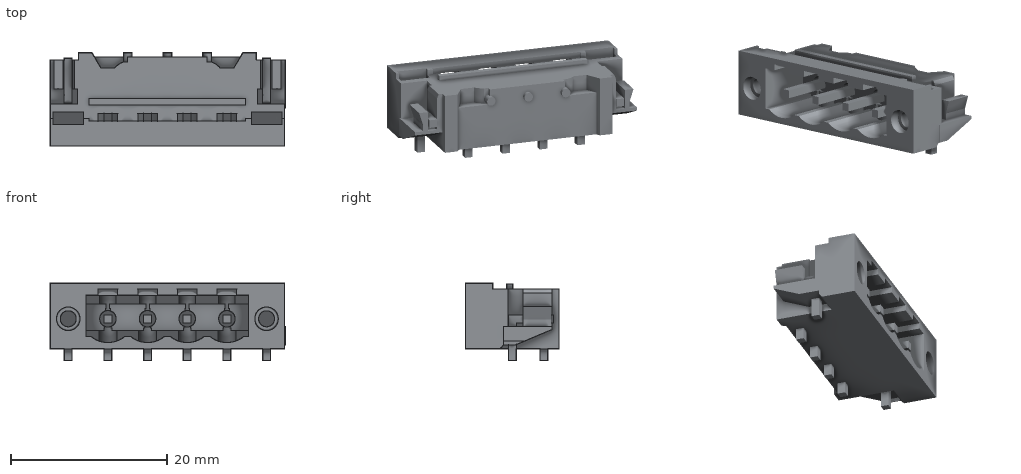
import cadquery as cq


overall_width = 30.12
pad_thickness = 0.1
half_width = (overall_width - pad_thickness) / 2
housing_depth = 12.0
front_height = 8.43
body_height = 7.68
front_block_depth = 5.42
rear_wall_y = 11.45
body_half_width = 11.4

contact_count = 4
anchor_span = 25.4
pitch = anchor_span / (contact_count + 1)
anchor_places = [-anchor_span / 2, anchor_span / 2]
contact_places = [(i - (contact_count - 1) / 2) * pitch for i in range(contact_count)]
wire = 1.02
axis_z = 3.85
leg_bottom = -1.5
contact_tip_y = 0.87
contact_rear_y = 10.55
anchor_front_y = 5.5
anchor_rear_y = 11.25

ledge_end_depth = 3.52
ledge_middle_depth = 3.2
ledge_middle_half = 10.03

rib_front_y = 5.27
rib_rear_y = 6.08
rib_top = 8.3

cavity_half = 10.4
cavity_floor = 1.57
cavity_mouth_top = 6.9
cavity_top = 6.8
scallop_bottom = 0.8
scallop_radius = 3.4
panel_y = 7.23
recess_y = 8.73
panel_bottom = 2.35
panel_top = 5.72
polarizing_width = 2.5
polarizing_depth = 4.2

ring_radius = 1.05
ring_depth = 0.75
upper_post_radius = 1.05
lower_post_radius = 1.15
upper_neck = 0.45
upper_mouth = 0.63
lower_neck = 1.0
lower_mouth = 0.8
mouth_height = 0.27

screw_radius = 1.5
screw_depth = 1.35
screw_core_radius = 1.02
nut_width = 3.92
nut_front_y = 2.8
nut_rear_y = 4.37

arm_rear_y = 11.05
arm_top = 2.9
arm_tip_bottom = 2.47
arm_bottom = 1.0
arm_slope_end_y = 7.55
notch_y = 4.88
notch_step_z = 0.5
notch_front_y = 4.43
side_wall = 11.55

cheek_front_y = 7.35
cheek_outer = 12.15
cheek_top_half = 11.9
cheek_chamfer_height = 0.55
clip_outer = 14.55
clip_foot_outer = 14.0
clip_inner = 13.37
clip_top = 5.42
clip_slope_bottom = 3.7

horn_inner_half = 9.67
cut_outer_half = 8.52
cut_inner_half = 6.75
cut_front_y = 10.03
cut_step_y = 10.78
cut_floor = 5.65
cut_arc_bulge = 0.05
knob_radius = 0.57


def block(x0, x1, y0, y1, z0, z1):
    """Box between two opposite corners."""
    return cq.Workplane("XY").box(x1 - x0, y1 - y0, z1 - z0, centered=False).translate((x0, y0, z0))


def wide_block(half, y0, y1, z0, z1):
    """Box centred on X = 0."""
    return block(-half, half, y0, y1, z0, z1)


def rod_along_y(x, z, radius, y0, y1):
    return cq.Workplane("XZ", origin=(x, y0, z)).circle(radius).extrude(y0 - y1)


def rod_along_z(x, y, radius, z0, z1):
    return cq.Workplane("XY", origin=(x, y, z0)).circle(radius).extrude(z1 - z0)


def both_sides(shape):
    return shape.union(shape.mirror("YZ"))


def make_body():
    body = wide_block(half_width, 0, front_block_depth, 0, body_height)
    ledge = wide_block(half_width, 0, ledge_end_depth, body_height, front_height)
    ledge_step = wide_block(ledge_middle_half, ledge_middle_depth, ledge_end_depth, body_height, front_height)
    ledge = ledge.cut(ledge_step)
    rib = wide_block(ledge_middle_half, rib_front_y, rib_rear_y, body_height, rib_top)
    rear = wide_block(body_half_width, front_block_depth, housing_depth, 0, body_height)
    side_walls = wide_block(side_wall, front_block_depth, cheek_front_y, arm_top, body_height)
    return body.union(ledge).union(rear).union(side_walls).union(rib)


def make_rear_cut():
    """Open space behind the rear wall, between the corner horns, with two notches in the top plate."""
    horn_slope = (horn_inner_half - cut_outer_half) / (housing_depth - cut_front_y)
    wall_half = cut_outer_half + horn_slope * (rear_wall_y - cut_front_y)
    behind_plate = (
        cq.Workplane("XY")
        .moveTo(-horn_inner_half, housing_depth)
        .lineTo(-wall_half, rear_wall_y)
        .lineTo(wall_half, rear_wall_y)
        .lineTo(horn_inner_half, housing_depth)
        .close()
        .extrude(body_height)
    )
    arc_start = (-cut_inner_half, cut_front_y)
    arc_end = (-pitch - knob_radius, cut_step_y)
    arc_mid_x = (arc_start[0] + arc_end[0]) / 2 - cut_arc_bulge
    arc_mid_y = (arc_start[1] + arc_end[1]) / 2 + cut_arc_bulge
    notch = (
        cq.Workplane("XY", origin=(0, 0, cut_floor))
        .moveTo(-horn_inner_half, housing_depth)
        .lineTo(-cut_outer_half, cut_front_y)
        .lineTo(*arc_start)
        .threePointArc((arc_mid_x, arc_mid_y), arc_end)
        .lineTo(-pitch, cut_step_y)
        .lineTo(-pitch, housing_depth)
        .close()
        .extrude(body_height - cut_floor)
    )
    return behind_plate.union(both_sides(notch))


def make_knobs():
    knobs = cq.Workplane("XY")
    for x in (-pitch, 0, pitch):
        knobs = knobs.union(rod_along_y(x, cut_floor + knob_radius, knob_radius, cut_step_y, housing_depth))
    return knobs


def make_arm():
    """Left arm with its wedge clip and the chamfered cheek beside it."""
    arm = (
        cq.Workplane("YZ", origin=(-half_width, 0, 0))
        .moveTo(notch_y, arm_top)
        .lineTo(arm_rear_y, arm_top)
        .lineTo(arm_rear_y, arm_tip_bottom)
        .lineTo(arm_slope_end_y, arm_bottom)
        .lineTo(notch_y, arm_bottom)
        .close()
        .extrude(half_width - body_half_width)
    )
    cheek_depth = arm_rear_y - cheek_front_y
    cheek = (
        cq.Workplane("XZ", origin=(0, arm_rear_y, 0))
        .moveTo(-body_half_width, arm_top)
        .lineTo(-cheek_outer, arm_top)
        .lineTo(-cheek_outer, body_height - cheek_chamfer_height)
        .lineTo(-cheek_top_half, body_height)
        .lineTo(-body_half_width, body_height)
        .close()
        .extrude(cheek_depth)
    )
    clip = (
        cq.Workplane("XZ", origin=(0, arm_rear_y, 0))
        .moveTo(-clip_inner, arm_top)
        .lineTo(-clip_foot_outer, arm_top)
        .lineTo(-clip_foot_outer, clip_slope_bottom)
        .lineTo(-clip_outer, clip_top)
        .lineTo(-clip_inner, clip_top)
        .close()
        .extrude(cheek_depth)
    )
    return arm.union(cheek).union(clip)


def make_bottom_notch():
    """Relief under the rear edge of the left end of the front block."""
    return (
        cq.Workplane("YZ", origin=(-half_width, 0, 0))
        .moveTo(notch_front_y, 0)
        .lineTo(notch_y, notch_step_z)
        .lineTo(notch_y, arm_bottom)
        .lineTo(front_block_depth, arm_bottom)
        .lineTo(front_block_depth, 0)
        .close()
        .extrude(half_width - body_half_width)
    )


def make_end_pad():
    """Thin pad on the outer face of the right arm, reaching lower than the arm."""
    slope = (arm_tip_bottom - arm_bottom) / (arm_rear_y - arm_slope_end_y)
    pad_slope_end_y = arm_rear_y - (arm_tip_bottom - notch_step_z) / slope
    return (
        cq.Workplane("YZ", origin=(half_width, 0, 0))
        .moveTo(notch_y, notch_step_z)
        .lineTo(notch_y, arm_top)
        .lineTo(arm_rear_y, arm_top)
        .lineTo(arm_rear_y, arm_tip_bottom)
        .lineTo(pad_slope_end_y, notch_step_z)
        .close()
        .extrude(pad_thickness)
    )


def make_flange_hole(x):
    """Stepped screw hole that ends in a nut pocket open at the top."""
    hole = rod_along_y(x, axis_z, screw_radius, 0, screw_depth)
    core = rod_along_y(x, axis_z, screw_core_radius, screw_depth, nut_front_y)
    half_nut = nut_width / 2
    pocket = block(x - half_nut, x + half_nut, nut_front_y, nut_rear_y, axis_z - half_nut, front_height)
    return hole.union(core).union(pocket)


def make_cavity():
    cavity = wide_block(cavity_half, 0, panel_y, cavity_floor, cavity_top)
    cavity = cavity.union(wide_block(cavity_half, 0, polarizing_depth, cavity_top, cavity_mouth_top))
    cavity = cavity.union(wide_block(cavity_half, panel_y, recess_y, cavity_floor, panel_bottom))
    cavity = cavity.union(wide_block(cavity_half, panel_y, recess_y, panel_top, cavity_top))
    below_floor = wide_block(cavity_half, 0, recess_y, scallop_bottom, cavity_floor)
    half_slot = polarizing_width / 2
    for x in contact_places:
        slot = block(x - half_slot, x + half_slot, 0, polarizing_depth, cavity_top, body_height)
        scallop = rod_along_y(x, scallop_bottom + scallop_radius, scallop_radius, 0, recess_y)
        cavity = cavity.union(slot).union(scallop.intersect(below_floor))
    for x in contact_places:
        cavity = cavity.union(make_necks(x)).cut(make_posts(x))
        cavity = cavity.union(rod_along_y(x, axis_z, ring_radius, panel_y, panel_y + ring_depth))
    return cavity


def make_necks(x):
    """Slots that join the ring around a contact to the recesses above and below."""
    ring_top = axis_z + ring_radius
    ring_bottom = axis_z - ring_radius
    necks = block(x - upper_neck / 2, x + upper_neck / 2, panel_y, recess_y, axis_z, panel_top)
    for width, z0, z1 in (
        (upper_mouth, axis_z, ring_top + mouth_height),
        (lower_mouth, panel_bottom, axis_z),
        (lower_neck, panel_bottom, ring_bottom - mouth_height / 2),
    ):
        necks = necks.union(block(x - width / 2, x + width / 2, panel_y, recess_y, z0, z1))
    return necks


def make_posts(x):
    """Round posts on the rear wall of the recesses, above and below a contact."""
    upper = rod_along_z(x, recess_y, upper_post_radius, axis_z, cavity_top)
    lower = rod_along_z(x, recess_y, lower_post_radius, 0, axis_z)
    return upper.union(lower)


def make_bent_wire(x, front_y, rear_y, leg_y):
    """Square wire lying along Y with one leg down to the board; leg_y is the front of the leg."""
    half_wire = wire / 2
    lying = block(x - half_wire, x + half_wire, front_y, rear_y, axis_z - half_wire, axis_z + half_wire)
    leg = block(x - half_wire, x + half_wire, leg_y, leg_y + wire, leg_bottom, axis_z)
    return lying.union(leg)


def make_contact(x):
    return make_bent_wire(x, contact_tip_y, contact_rear_y, contact_rear_y - wire)


def make_anchor(x):
    return make_bent_wire(x, anchor_front_y, anchor_rear_y, anchor_front_y)


contacts = [make_contact(x) for x in contact_places]
anchors = [make_anchor(x) for x in anchor_places]

housing = make_body().cut(make_rear_cut()).union(make_knobs())
housing = housing.cut(both_sides(make_bottom_notch())).union(both_sides(make_arm()))
housing = housing.union(make_end_pad()).cut(make_cavity())
for x in anchor_places:
    housing = housing.cut(make_flange_hole(x))
for pin in contacts + anchors:
    housing = housing.cut(pin)

result = cq.Compound.makeCompound([housing.val(), *[pin.val() for pin in contacts + anchors]])